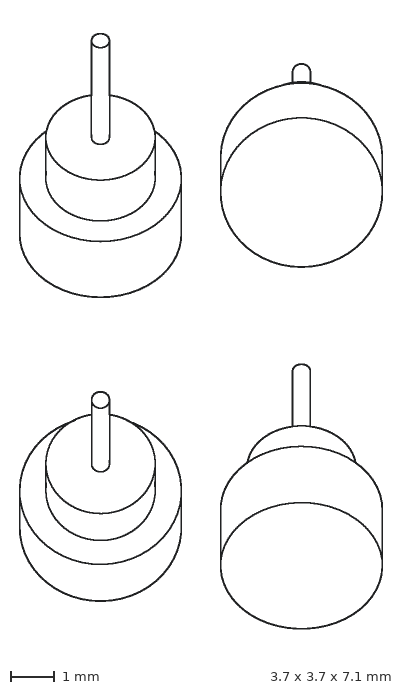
import cadquery as cq

total_height = 7.1
base_height = 2.05
collar_top = 3.55

base_diameter = 3.7
collar_diameter = 2.5
pin_diameter = 0.41


def cylinder(diameter, bottom, top):
    """Cylinder on the Z axis between two heights."""
    return cq.Workplane("XY").workplane(offset=bottom).circle(diameter / 2).extrude(top - bottom)


base = cylinder(base_diameter, 0, base_height)
collar = cylinder(collar_diameter, base_height, collar_top)
pin = cylinder(pin_diameter, collar_top, total_height)

result = base.union(collar).union(pin)